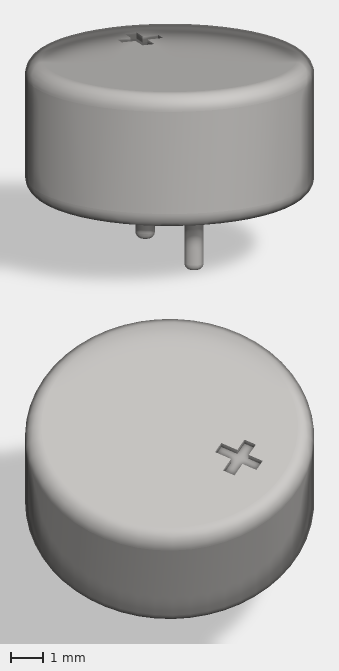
import cadquery as cq

body_diameter = 9.0
total_height = 6.3
pin_length = 2.0
body_height = total_height - pin_length
rim_radius = 0.5

pin_diameter = 0.6
pin_spacing = 4.0
pin_tip_radius = 0.2

bar_width = 0.405
long_bar_length = 1.47
long_bar_center = (-2.46, 0)
short_bar_length = 1.39
short_bar_center = (-2.49, 0.03)
recess_depth = 0.2


def make_body():
    """Cylinder standing on Z = 0 with both rims rounded."""
    body = cq.Workplane("XY").circle(body_diameter / 2).extrude(body_height)
    return body.edges("%CIRCLE").fillet(rim_radius)


def make_pin(x):
    """Pin hanging from the underside of the body, with a rounded tip."""
    pin = cq.Workplane("XY").center(x, 0).circle(pin_diameter / 2).extrude(-pin_length)
    return pin.faces("<Z").edges().fillet(pin_tip_radius)


def make_recess_bar(center, size_x, size_y):
    """Rectangular bar reaching down from the top face."""
    top = cq.Workplane("XY", origin=(*center, body_height))
    return top.rect(size_x, size_y).extrude(-recess_depth)


def make_plus_recess():
    """Long bar along X crossed by a short bar along Y."""
    long_bar = make_recess_bar(long_bar_center, long_bar_length, bar_width)
    short_bar = make_recess_bar(short_bar_center, bar_width, short_bar_length)
    return long_bar.union(short_bar)


result = make_body()
for pin_x in (-pin_spacing / 2, pin_spacing / 2):
    result = result.union(make_pin(pin_x))
result = result.cut(make_plus_recess())